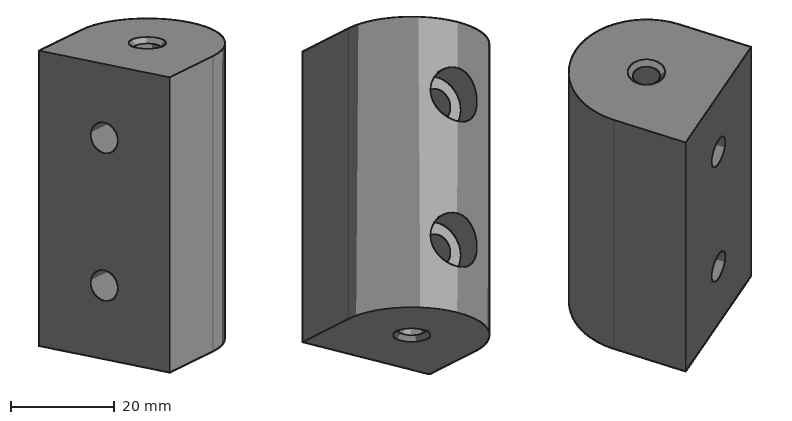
import cadquery as cq

width = 30.0
depth = 30.3
height = 60.0
round_radius = width / 2
flat_depth = depth - round_radius

cross_diameter = 6.2
cross_spacing = height / 2
counterbore_diameter = 11.0
counterbore_depth = 6.5

axial_diameter = 5.2
countersink_diameter = 7.2
countersink_angle = 90.0


def make_body():
    """D-shaped bar with its flat face toward -Y and the round's axis on Z."""
    return (
        cq.Workplane("XY")
        .moveTo(-width / 2, -flat_depth)
        .lineTo(width / 2, -flat_depth)
        .lineTo(width / 2, 0)
        .threePointArc((0, round_radius), (-width / 2, 0))
        .close()
        .extrude(height)
    )


def cut_axial_hole(body):
    """Through hole along Z, countersunk at the top and bottom ends."""
    for end in (">Z", "<Z"):
        body = (
            body.faces(end)
            .workplane(origin=(0, 0, 0))
            .cskHole(axial_diameter, countersink_diameter, countersink_angle)
        )
    return body


def cut_cross_holes(body):
    """Two counterbored through holes, entered from the crown of the round."""
    for side in (-1, 1):
        center_z = height / 2 + side * cross_spacing / 2
        entry_plane = cq.Plane(
            origin=(0, round_radius, center_z), xDir=(1, 0, 0), normal=(0, 1, 0)
        )
        body = body.copyWorkplane(cq.Workplane(entry_plane)).cboreHole(
            cross_diameter, counterbore_diameter, counterbore_depth
        )
    return body


result = cut_cross_holes(cut_axial_hole(make_body()))